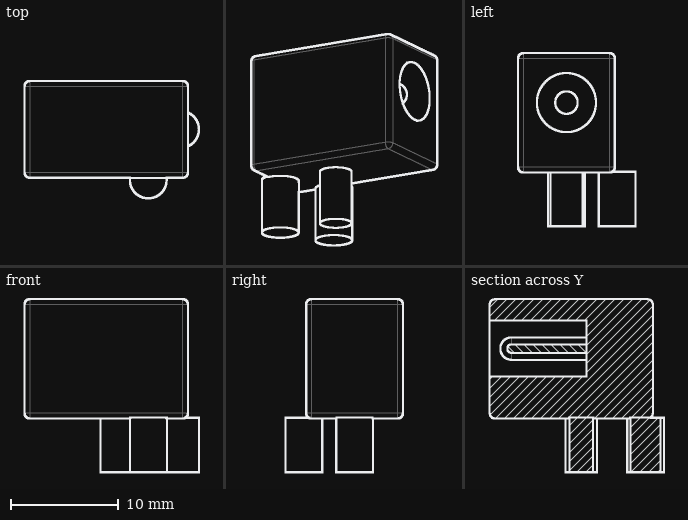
import cadquery as cq
import math

housing_length = 15.2
housing_width = 9.0
housing_height = 11.11
housing_bottom = 5.0
edge_radius = 0.5

socket_diameter = 5.5
socket_depth = 9.0
socket_axis_z = housing_bottom + 6.5

contact_diameter = 2.1
contact_tip_x = 1.0

seat_depth = 0.1
terminal_height = housing_bottom + seat_depth
large_diameter = 3.44
small_diameter = 2.95
overall_length = 16.22
overall_width = 10.92
rear_x = overall_length - large_diameter / 2
side_x = 11.5
side_y = housing_width / 2 - overall_width + large_diameter / 2
middle_x = 8.52

terminal_layout = [
    (rear_x, 0, large_diameter),
    (side_x, side_y, large_diameter),
    (middle_x, 0, small_diameter),
]


def make_terminal(x, y, diameter):
    """Upright round post standing on Z = 0."""
    return cq.Workplane("XY").center(x, y).circle(diameter / 2).extrude(terminal_height)


def make_contact():
    """Round pin along X: a dome at the tip, then a straight shank to the socket floor."""
    radius = contact_diameter / 2
    dome_end_x = contact_tip_x + radius
    dome_midpoint = (dome_end_x - radius * math.sqrt(0.5), radius * math.sqrt(0.5))
    half_profile = (
        cq.Workplane("XY")
        .moveTo(contact_tip_x, 0)
        .threePointArc(dome_midpoint, (dome_end_x, radius))
        .lineTo(socket_depth, radius)
        .lineTo(socket_depth, 0)
        .close()
    )
    return half_profile.revolve(360, (0, 0, 0), (1, 0, 0)).translate((0, 0, socket_axis_z))


def make_housing(seated_terminals):
    """Rounded box with the plug socket and a matching recess for each terminal."""
    box = (
        cq.Workplane("XY", origin=(0, 0, housing_bottom))
        .box(housing_length, housing_width, housing_height, centered=(False, True, False))
        .edges()
        .fillet(edge_radius)
    )
    socket = (
        cq.Workplane("YZ", origin=(0, 0, socket_axis_z))
        .circle(socket_diameter / 2)
        .extrude(socket_depth)
    )
    body = box.cut(socket)
    for terminal in seated_terminals:
        body = body.cut(terminal)
    return body


terminals = [make_terminal(x, y, diameter) for x, y, diameter in terminal_layout]
contact = make_contact()
housing = make_housing(terminals)

result = cq.Compound.makeCompound(
    [housing.val(), contact.val(), *[terminal.val() for terminal in terminals]]
)